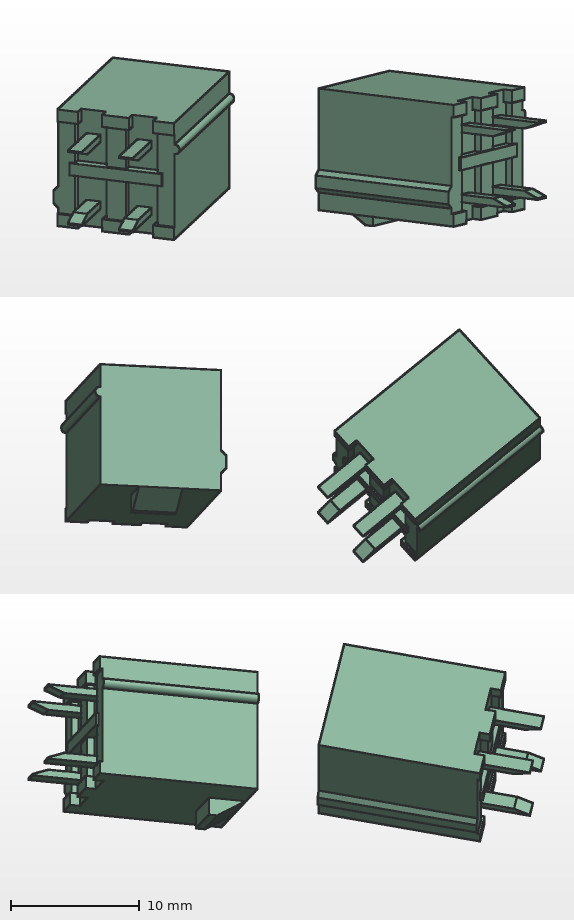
import cadquery as cq

BODY_WIDTH = 9.6
BODY_HEIGHT = 9.6
BODY_LENGTH = 12.6
HALF_WIDTH = BODY_WIDTH / 2
HALF_HEIGHT = BODY_HEIGHT / 2

PAD_THICKNESS = 0.2
PAD_HEIGHT = 1.0

BAR_WIDTH = 7.6
BAR_HEIGHT = 1.0

COLUMN_PITCH = 4.2
CHANNEL_WIDTH = 2.6
CHANNEL_MOUTH_WIDTH = 2.0
CHANNEL_DEPTH = 0.6

PIN_WIDTH = 1.15
PIN_THICKNESS = 0.6
PIN_REACH = 3.7
PIN_TAPER_LENGTH = 1.25
PIN_TIP_THICKNESS = 0.12
UPPER_PIN_Z = 2.55
ROW_PITCH = 5.5
LOWER_PIN_Z = UPPER_PIN_Z - ROW_PITCH

RIDGE_HEIGHT = 0.4
RIDGE_TOP_WIDTH = 1.0
RIDGE_Z = -2.5
ROUND_RIDGE_RADIUS = 0.4
ROUND_RIDGE_Z = 2.6
LATCH_WIDTH = 3.45
LATCH_HEIGHT = 1.4
LATCH_LENGTH = 3.0
LATCH_FLAT = 0.7

COLUMN_XS = (-COLUMN_PITCH / 2, COLUMN_PITCH / 2)


def block(width, height, y_front, y_back, x=0, z=0):
    """Box centred on (x, z), spanning y_front to y_back."""
    length = y_back - y_front
    return cq.Workplane("XY").box(width, length, height).translate((x, y_front + length / 2, z))


def make_housing():
    """Plain block with pad strips and full-height channels, bridged by the centre bar."""
    housing = block(BODY_WIDTH, BODY_HEIGHT, 0, BODY_LENGTH)
    strip_z = HALF_HEIGHT - PAD_HEIGHT / 2
    for z in (-strip_z, strip_z):
        housing = housing.union(block(BODY_WIDTH, PAD_HEIGHT, -PAD_THICKNESS, BODY_LENGTH, z=z))
    wide_height = BODY_HEIGHT - 2 * PAD_HEIGHT
    for x in COLUMN_XS:
        housing = housing.cut(block(CHANNEL_WIDTH, wide_height, -PAD_THICKNESS, CHANNEL_DEPTH, x=x))
        housing = housing.cut(block(CHANNEL_MOUTH_WIDTH, BODY_HEIGHT, -PAD_THICKNESS, CHANNEL_DEPTH, x=x))
    return housing.union(block(BAR_WIDTH, BAR_HEIGHT, -PAD_THICKNESS, CHANNEL_DEPTH))


def make_pin(x, z, taper_side):
    """Pin whose tip tapers on its top (taper_side = 1) or its bottom (taper_side = -1)."""
    tip_y = -PIN_REACH
    tapered_z = z + taper_side * PIN_THICKNESS / 2
    straight_z = z - taper_side * PIN_THICKNESS / 2
    profile = [
        (CHANNEL_DEPTH, straight_z),
        (tip_y, straight_z),
        (tip_y, straight_z + taper_side * PIN_TIP_THICKNESS),
        (tip_y + PIN_TAPER_LENGTH, tapered_z),
        (CHANNEL_DEPTH, tapered_z),
    ]
    pin = cq.Workplane("YZ").polyline(profile).close().extrude(PIN_WIDTH / 2, both=True)
    return pin.translate((x, 0, 0))


def make_left_ridge():
    """Trapezoidal keying ridge with 45 degree flanks along the -X side."""
    half_top = RIDGE_TOP_WIDTH / 2
    half_base = half_top + RIDGE_HEIGHT
    crest_x = -HALF_WIDTH - RIDGE_HEIGHT
    profile = [
        (-HALF_WIDTH, RIDGE_Z + half_base),
        (crest_x, RIDGE_Z + half_top),
        (crest_x, RIDGE_Z - half_top),
        (-HALF_WIDTH, RIDGE_Z - half_base),
    ]
    return cq.Workplane("XZ").polyline(profile).close().extrude(-BODY_LENGTH)


def make_right_ridge():
    """Half-round keying ridge along the +X side."""
    return (
        cq.Workplane("XZ")
        .moveTo(HALF_WIDTH, ROUND_RIDGE_Z - ROUND_RIDGE_RADIUS)
        .threePointArc(
            (HALF_WIDTH + ROUND_RIDGE_RADIUS, ROUND_RIDGE_Z),
            (HALF_WIDTH, ROUND_RIDGE_Z + ROUND_RIDGE_RADIUS),
        )
        .close()
        .extrude(-BODY_LENGTH)
    )


def make_latch():
    """Ramped latch under the housing, rising to nothing at the back face."""
    latch_front = BODY_LENGTH - LATCH_LENGTH
    latch_bottom = -HALF_HEIGHT - LATCH_HEIGHT
    profile = [
        (latch_front, -HALF_HEIGHT),
        (latch_front, latch_bottom),
        (latch_front + LATCH_FLAT, latch_bottom),
        (BODY_LENGTH, -HALF_HEIGHT),
    ]
    return cq.Workplane("YZ").polyline(profile).close().extrude(LATCH_WIDTH / 2, both=True)


result = make_housing().union(make_left_ridge()).union(make_right_ridge()).union(make_latch())
for column_x in COLUMN_XS:
    result = result.union(make_pin(column_x, UPPER_PIN_Z, -1))
    result = result.union(make_pin(column_x, LOWER_PIN_Z, 1))